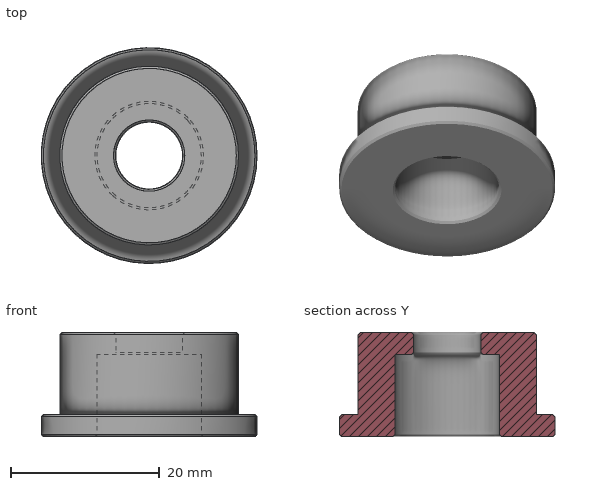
import cadquery as cq

flange_diameter = 29.0
flange_thickness = 3.0
body_diameter = 24.0
total_height = 14.0
bore_diameter = 9.0
recess_diameter = 14.0
web_thickness = 3.0
edge_chamfer = 0.3

recess_depth = total_height - web_thickness


def chamfered_disc(diameter, height, chamfered_edges):
    """Upright disc on the XY plane with the selected rims chamfered."""
    disc = cq.Workplane("XY").circle(diameter / 2).extrude(height)
    return disc.edges(chamfered_edges).chamfer(edge_chamfer)


def bore_cutter():
    """Stepped bore: wide recess from below, narrow hole chamfered at both faces of the top web."""
    bore_radius = bore_diameter / 2
    recess_radius = recess_diameter / 2
    return (
        cq.Workplane("XZ")
        .moveTo(0, 0)
        .lineTo(recess_radius + edge_chamfer, 0)
        .lineTo(recess_radius, edge_chamfer)
        .lineTo(recess_radius, recess_depth)
        .lineTo(bore_radius + edge_chamfer, recess_depth)
        .lineTo(bore_radius, recess_depth + edge_chamfer)
        .lineTo(bore_radius, total_height - edge_chamfer)
        .lineTo(bore_radius + edge_chamfer, total_height)
        .lineTo(0, total_height)
        .close()
        .revolve(360, (0, 0, 0), (0, 1, 0))
    )


flange = chamfered_disc(flange_diameter, flange_thickness, "%CIRCLE")
body = chamfered_disc(body_diameter, total_height, ">Z")
result = flange.union(body).cut(bore_cutter())